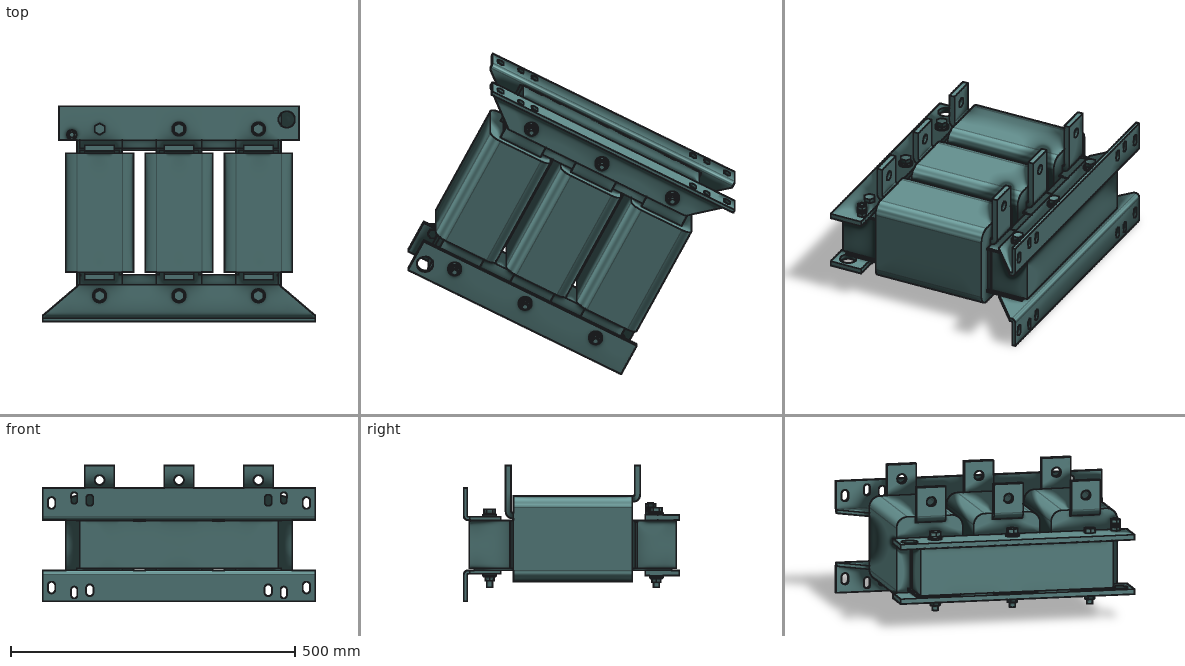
import cadquery as cq


PITCH = 139.5
PHASES = [-PITCH, 0, PITCH]

LEG_WIDTH = 69.0
CORE_WIDTH = 2 * PITCH + LEG_WIDTH
CORE_TOP = 42.5
CORE_BOTTOM = -41.0
CORE_FRONT = -182.5
CORE_REAR = 182.0
YOKE_FRONT_INNER = -111.5
YOKE_REAR_INNER = 113.5

CLAMP_Z = 44.0
STRIP_WIDTH = 79.5
TOP_STRIP_END = 180.5
BOTTOM_STRIP_END = 174.0
SPACER_INNER = 109.5
REAR_SPACER_TOP = 41.0
SPACER_WIDTH = 345.5

COIL_WIDTH = 119.5
COIL_HALF_LENGTH = 104.5
COIL_TOP = 87.0
COIL_BOTTOM = -64.0
COIL_RADIUS = 19.5

TERMINAL_WIDTH = 52.5
TERMINAL_THICKNESS = 10.0
TERMINAL_OUTER_Y = 118.5
TERMINAL_ROOT_Y = 98.5
TERMINAL_TOP = 140.5
TERMINAL_BEND = 13.0
FRONT_TERMINAL_BASE = 47.0
REAR_TERMINAL_BASE = 76.5
TERMINAL_HOLE_DIAMETER = 17.0
TERMINAL_HOLE_Z = 114.5

BRACKET_LENGTH = 480.0
BRACKET_THICKNESS = 6.0
BRACKET_BEND = 7.0
BRACKET_FRONT = -192.0
BRACKET_INNER_Y = -126.5
BRACKET_INNER_WIDTH = 351.5
BRACKET_TAPER_Y = -181.5
BRACKET_TOP = 101.0
BRACKET_BOTTOM = -99.0
SLOT_LENGTH = 20.0
SLOTS = [(224.0, 74.5, 12.5), (184.5, 83.0, 10.5), (157.0, 79.0, 12.5)]

BAR_LENGTH = 422.5
BAR_FRONT = 127.0
BAR_REAR = 187.0
BAR_THICKNESS = 9.0
BAR_HOLE_X = 189.5
BAR_HOLE_Y = 163.5
BAR_HOLE_DIAMETER = 29.0

FLAT_TO_SIDE = 30
FRONT_BOLT_Y = -146.5
REAR_BOLT_Y = 147.0
BOLT_END = -74.0
BOLT_DIAMETER = 10.5
WASHER_DIAMETER = 24.0
HEAD_CORNERS = 20.0
HEAD_HEIGHT = 7.5
NUT_CORNERS = 18.0
NUT_HEIGHT = 6.5
WASHER_HEIGHT = 5.5
WASHER_TAPER = 2.5

STUD_X = -188.5
STUD_Y = 137.0
STUD_DIAMETER = 9.5
STUD_BOTTOM = 38.5
STUD_TOP = 74.5
STUD_NUT_CORNERS = 17.5
STUD_NUT_HEIGHT = 6.0
STUD_WASHER_DIAMETERS = [17.0, 15.0, 17.0]
STUD_WASHER_HEIGHT = 2.5


def block(width, y_start, y_end, z_start, z_end, x=0):
    """Box centred on x, spanning the given Y and Z ranges."""
    return (
        cq.Workplane("XY")
        .box(width, y_end - y_start, z_end - z_start, centered=(True, False, False))
        .translate((x, y_start, z_start))
    )


def cylinder(x, y, z, diameter, height):
    return cq.Workplane("XY", origin=(x, y, z)).circle(diameter / 2).extrude(height)


def hexagon(x, y, z, corners, height, turn=0):
    """Hexagonal prism with corners facing X, turned about its axis by the given degrees."""
    prism = cq.Workplane("XY").polygon(6, corners).extrude(height)
    return prism.rotate((0, 0, 0), (0, 0, 1), turn).translate((x, y, z))


def make_core():
    """Yokes and legs; the spacers fill the joints between them."""
    front_yoke = block(CORE_WIDTH, CORE_FRONT, YOKE_FRONT_INNER, CORE_BOTTOM, CORE_TOP)
    rear_yoke = block(CORE_WIDTH, YOKE_REAR_INNER, CORE_REAR, CORE_BOTTOM, CORE_TOP)
    core = front_yoke.union(rear_yoke)
    for x in PHASES:
        core = core.union(block(LEG_WIDTH, -SPACER_INNER, SPACER_INNER, CORE_BOTTOM, CORE_TOP, x))
    return core


def make_insulation():
    front_spacer = block(SPACER_WIDTH, YOKE_FRONT_INNER, -SPACER_INNER, CORE_BOTTOM, CORE_TOP)
    rear_spacer = block(SPACER_WIDTH, SPACER_INNER, YOKE_REAR_INNER, CORE_BOTTOM, REAR_SPACER_TOP)
    insulation = front_spacer.union(rear_spacer)
    for x in PHASES:
        top_strip = block(STRIP_WIDTH, -TOP_STRIP_END, TOP_STRIP_END, CORE_TOP, CLAMP_Z, x)
        bottom_strip = block(STRIP_WIDTH, -BOTTOM_STRIP_END, BOTTOM_STRIP_END, -CLAMP_Z, CORE_BOTTOM, x)
        insulation = insulation.union(top_strip).union(bottom_strip)
    return insulation


def make_coil(x):
    coil = block(COIL_WIDTH, -COIL_HALF_LENGTH, COIL_HALF_LENGTH, COIL_BOTTOM, COIL_TOP, x)
    return coil.edges("|Y").fillet(COIL_RADIUS)


def make_terminal(x, side, base):
    """L-shaped busbar leaving a coil end; side is -1 at the front and 1 at the rear."""
    inner_y = TERMINAL_OUTER_Y - TERMINAL_THICKNESS
    foot_top = base + TERMINAL_THICKNESS
    inner_bend = TERMINAL_BEND - TERMINAL_THICKNESS
    profile = (
        cq.Workplane("YZ", origin=(x - TERMINAL_WIDTH / 2, 0, 0))
        .moveTo(side * TERMINAL_ROOT_Y, base)
        .lineTo(side * (TERMINAL_OUTER_Y - TERMINAL_BEND), base)
        .radiusArc((side * TERMINAL_OUTER_Y, base + TERMINAL_BEND), -side * TERMINAL_BEND)
        .lineTo(side * TERMINAL_OUTER_Y, TERMINAL_TOP)
        .lineTo(side * inner_y, TERMINAL_TOP)
        .lineTo(side * inner_y, foot_top + inner_bend)
        .radiusArc((side * (inner_y - inner_bend), foot_top), side * inner_bend)
        .lineTo(side * TERMINAL_ROOT_Y, foot_top)
        .close()
    )
    hole = (
        cq.Workplane("XZ", origin=(x, 0, TERMINAL_HOLE_Z))
        .circle(TERMINAL_HOLE_DIAMETER / 2)
        .extrude(TERMINAL_OUTER_Y, both=True)
    )
    return profile.extrude(TERMINAL_WIDTH).cut(hole)


def make_bracket(side, end_z):
    """Slotted angle with a tapered clamping flange; side is 1 above the core and -1 below."""
    flange_z = side * CLAMP_Z
    inner_z = side * (CLAMP_Z + BRACKET_THICKNESS)
    wall_back = BRACKET_FRONT + BRACKET_THICKNESS
    inner_bend = BRACKET_BEND - BRACKET_THICKNESS
    angle = (
        cq.Workplane("YZ", origin=(-BRACKET_LENGTH / 2, 0, 0))
        .moveTo(BRACKET_INNER_Y, flange_z)
        .lineTo(BRACKET_FRONT + BRACKET_BEND, flange_z)
        .radiusArc((BRACKET_FRONT, flange_z + side * BRACKET_BEND), side * BRACKET_BEND)
        .lineTo(BRACKET_FRONT, end_z)
        .lineTo(wall_back, end_z)
        .lineTo(wall_back, inner_z + side * inner_bend)
        .radiusArc((wall_back + inner_bend, inner_z), -side * inner_bend)
        .lineTo(BRACKET_INNER_Y, inner_z)
        .close()
        .extrude(BRACKET_LENGTH)
    )
    outline = (
        cq.Workplane("XY")
        .polyline([
            (-BRACKET_LENGTH / 2, BRACKET_FRONT),
            (BRACKET_LENGTH / 2, BRACKET_FRONT),
            (BRACKET_LENGTH / 2, BRACKET_TAPER_Y),
            (BRACKET_INNER_WIDTH / 2, BRACKET_INNER_Y),
            (-BRACKET_INNER_WIDTH / 2, BRACKET_INNER_Y),
            (-BRACKET_LENGTH / 2, BRACKET_TAPER_Y),
        ])
        .close()
        .extrude(end_z)
    )
    bracket = angle.intersect(outline)
    for offset, height, width in SLOTS:
        slots = (
            cq.Workplane("XZ", origin=(0, wall_back, side * height))
            .pushPoints([(-offset, 0), (offset, 0)])
            .slot2D(SLOT_LENGTH, width, 90)
            .extrude(BRACKET_THICKNESS)
        )
        bracket = bracket.cut(slots)
    return bracket


def make_rear_bar(side):
    """Clamping bar, with its end hole on the right above the core and on the left below."""
    faces = sorted([side * CLAMP_Z, side * (CLAMP_Z + BAR_THICKNESS)])
    bar = block(BAR_LENGTH, BAR_FRONT, BAR_REAR, faces[0], faces[1])
    hole = cylinder(side * BAR_HOLE_X, BAR_HOLE_Y, faces[0], BAR_HOLE_DIAMETER, BAR_THICKNESS)
    return bar.cut(hole)


def make_washer(x, y, seat, direction):
    """Washer with a tapered outer rim, standing on seat and facing up (1) or down (-1)."""
    washer = cylinder(x, y, seat, WASHER_DIAMETER, direction * WASHER_HEIGHT)
    outer_face = ">Z" if direction > 0 else "<Z"
    return washer.faces(outer_face).chamfer(WASHER_TAPER)


def make_bolt(x, y, seat, head_washer=True):
    """Through bolt clamped between the faces at +seat and -seat."""
    head_base = seat
    nut_top = -seat - WASHER_HEIGHT
    bolt = make_washer(x, y, -seat, -1)
    if head_washer:
        head_base = seat + WASHER_HEIGHT
        bolt = bolt.union(make_washer(x, y, seat, 1))
    return (
        bolt.union(hexagon(x, y, head_base, HEAD_CORNERS, HEAD_HEIGHT, FLAT_TO_SIDE))
        .union(hexagon(x, y, nut_top, NUT_CORNERS, -NUT_HEIGHT))
        .union(cylinder(x, y, BOLT_END, BOLT_DIAMETER, head_base - BOLT_END))
    )


def make_earth_stud():
    """Stud through the upper rear bar with one nut below, and a washer stack between two nuts above."""
    stud = cylinder(STUD_X, STUD_Y, STUD_BOTTOM, STUD_DIAMETER, STUD_TOP - STUD_BOTTOM)
    lower_height = CLAMP_Z - STUD_BOTTOM
    stud = stud.union(hexagon(STUD_X, STUD_Y, STUD_BOTTOM, STUD_NUT_CORNERS, lower_height, FLAT_TO_SIDE))
    seat = CLAMP_Z + BAR_THICKNESS
    level = seat + STUD_NUT_HEIGHT
    for diameter in STUD_WASHER_DIAMETERS:
        stud = stud.union(cylinder(STUD_X, STUD_Y, level, diameter, STUD_WASHER_HEIGHT))
        level += STUD_WASHER_HEIGHT
    for base in [seat, level]:
        stud = stud.union(hexagon(STUD_X, STUD_Y, base, STUD_NUT_CORNERS, STUD_NUT_HEIGHT, FLAT_TO_SIDE))
    return stud


result = make_core().union(make_insulation())

for bracket_side, bracket_end in [(1, BRACKET_TOP), (-1, BRACKET_BOTTOM)]:
    result = result.union(make_bracket(bracket_side, bracket_end))
    result = result.union(make_rear_bar(bracket_side))

for phase_x in PHASES:
    result = result.union(make_coil(phase_x))
    result = result.union(make_terminal(phase_x, -1, FRONT_TERMINAL_BASE))
    result = result.union(make_terminal(phase_x, 1, REAR_TERMINAL_BASE))
    result = result.union(make_bolt(phase_x, FRONT_BOLT_Y, CLAMP_Z + BRACKET_THICKNESS))
    has_washer = phase_x != PHASES[0]
    result = result.union(make_bolt(phase_x, REAR_BOLT_Y, CLAMP_Z + BAR_THICKNESS, has_washer))

result = result.union(make_earth_stud())